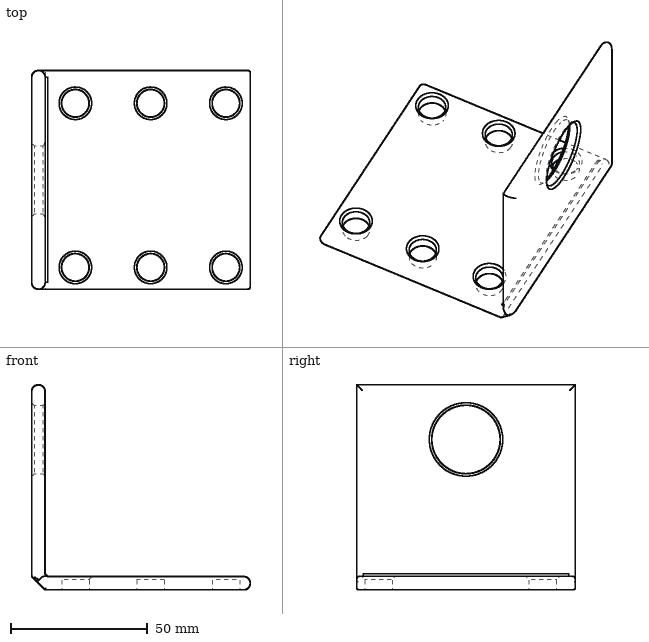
import cadquery as cq

length = 80.0
width = 80.0
height = 75.0
thickness = 5.0
edge_radius = thickness / 2

fillet_radius = 1.0
corner_chamfer = thickness
inner_chamfer = 1.0

hole_rim = 1.0
base_hole_diameter = 10.0
base_hole_pitch = 27.5
base_hole_row_spacing = 60.0
base_hole_row_offset = -2.0
base_hole_end_distance = 9.0
base_hole_columns = 3
wall_hole_diameter = 25.0
wall_hole_top_distance = 20.0


def extrude_profile(profile):
    """Extrude an XZ profile symmetrically across the bracket width."""
    return profile.close().extrude(width / 2, both=True)


def make_base():
    """Horizontal plate with a sloped heel, a round free end and filleted sides."""
    seam_top_x = thickness - inner_chamfer
    seam_run = (seam_top_x + thickness - corner_chamfer) / 2
    base = extrude_profile(
        cq.Workplane("XZ")
        .moveTo(corner_chamfer, 0)
        .lineTo(length - edge_radius, 0)
        .threePointArc((length, edge_radius), (length - edge_radius, thickness))
        .lineTo(seam_top_x, thickness)
        .lineTo(seam_top_x - seam_run, thickness - seam_run)
    )
    seam_edges = cq.selectors.ParallelDirSelector(cq.Vector(1, 0, 1))
    return base.faces("<Y or >Y").edges(-seam_edges).fillet(fillet_radius)


def make_inner_chamfer():
    """Triangular fill along the inner corner, stopping short of the round sides."""
    return (
        cq.Workplane("XZ")
        .moveTo(edge_radius, thickness)
        .lineTo(thickness + inner_chamfer, thickness)
        .lineTo(thickness, thickness + inner_chamfer)
        .lineTo(edge_radius, thickness + inner_chamfer)
        .close()
        .extrude(width / 2 - edge_radius, both=True)
    )


def make_wall():
    """Vertical plate with full-round sides and top, and a sloped, filleted foot."""
    round_top = extrude_profile(
        cq.Workplane("XZ")
        .moveTo(0, corner_chamfer)
        .lineTo(0, height - edge_radius)
        .threePointArc((edge_radius, height), (thickness, height - edge_radius))
        .lineTo(thickness, corner_chamfer - thickness)
    )
    round_sides = (
        cq.Workplane("XY")
        .center(edge_radius, 0)
        .slot2D(width, thickness, 90)
        .extrude(height)
    )
    wall = round_top.intersect(round_sides)
    foot = cq.Vector(-1, 0, -1)
    foot_face = wall.faces(cq.selectors.DirectionMinMaxSelector(foot))
    return foot_face.edges("|Y and <X").fillet(fillet_radius)


def rimmed_hole_cutter(plane, diameter):
    """Through-hole tool for one plate thickness, with a conical rim at its far end."""
    bore = plane.circle(diameter / 2).extrude(thickness)
    far_rim = plane.workplane(offset=thickness).circle(diameter / 2 + hole_rim).extrude(-hole_rim, taper=45)
    return bore.union(far_rim)


def base_hole_cutters():
    """Two rows of holes through the base, rimmed on its top face."""
    cutters = cq.Workplane("XY")
    cutter = rimmed_hole_cutter(cq.Workplane("XY"), base_hole_diameter)
    for column in range(base_hole_columns):
        x = length - base_hole_end_distance - column * base_hole_pitch
        for side in (-1, 1):
            y = base_hole_row_offset + side * base_hole_row_spacing / 2
            cutters = cutters.add(cutter.translate((x, y, 0)))
    return cutters.combine()


def wall_hole_cutter():
    """Large hole through the wall, rimmed on both faces."""
    inner_side = rimmed_hole_cutter(cq.Workplane("YZ"), wall_hole_diameter)
    outer_side = inner_side.mirror("YZ").translate((thickness, 0, 0))
    cutter = inner_side.union(outer_side)
    return cutter.translate((0, 0, height - wall_hole_top_distance))


bracket = make_base().union(make_wall()).union(make_inner_chamfer())
result = bracket.cut(base_hole_cutters()).cut(wall_hole_cutter())